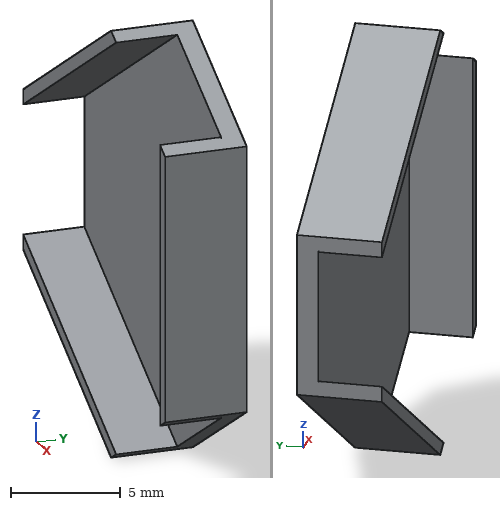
import cadquery as cq

height = 20.57
width = 17.77
depth = 4.0
floor_thickness = 1.0
wall_thickness = 0.64
right_wall_length = 12.8
left_edge_length = 7.73
left_edge_offset = 0.05
corner_x = 2.12

half_width = width / 2
back = depth / 2
front = -back

left_top = (-half_width, left_edge_offset + left_edge_length / 2)
left_bottom = (-half_width, left_edge_offset - left_edge_length / 2)
top_corner = (corner_x, height / 2)
bottom_corner = (corner_x, -height / 2)
right_top = (half_width, right_wall_length / 2)
right_bottom = (half_width, -right_wall_length / 2)
outline = [left_top, top_corner, right_top, right_bottom, bottom_corner, left_bottom]


def prism(points, y_start, y_end):
    """Extrude an XZ outline between two Y positions."""
    plane = cq.Workplane("XZ", origin=(0, y_end, 0))
    return plane.polyline(points).close().extrude(y_end - y_start)


def wall_band(start, end):
    """Strip of wall thickness on the inner side of a clockwise edge, overlong at both ends."""
    edge = cq.Vector(end[0] - start[0], 0, end[1] - start[1])
    inward = cq.Vector(edge.z, 0, -edge.x).normalized()
    middle = cq.Vector((start[0] + end[0]) / 2, 0, (start[1] + end[1]) / 2)
    plane = cq.Plane(origin=middle, xDir=edge, normal=inward)
    return cq.Workplane(plane).rect(2 * height, 2 * depth).extrude(wall_thickness)


blank = prism(outline, front, back)
result = prism(outline, back - floor_thickness, back)
for start, end in [
    (left_top, top_corner),
    (right_top, right_bottom),
    (bottom_corner, left_bottom),
]:
    result = result.union(blank.intersect(wall_band(start, end)))